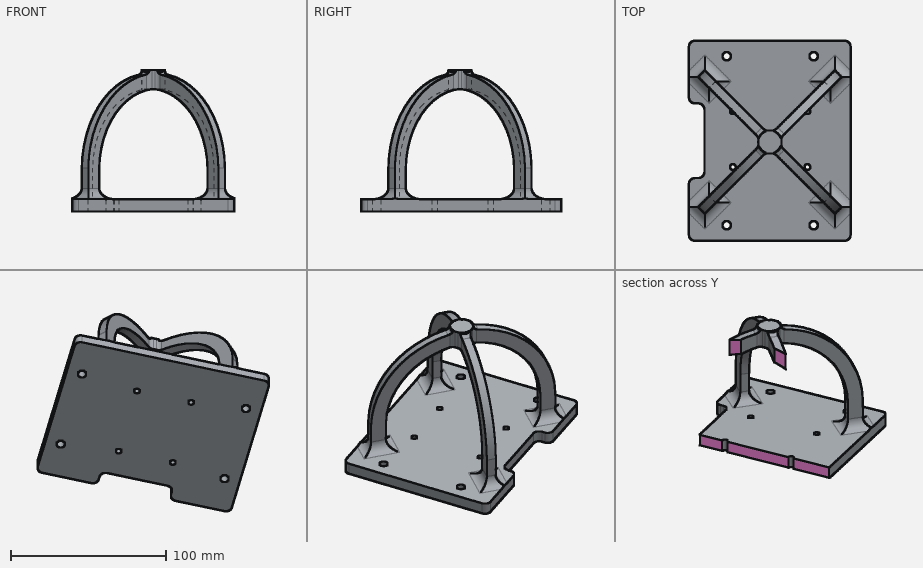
import cadquery as cq
import math

plate_x = 104.4
plate_y = 129.0
plate_thickness = 8.0
corner_radius = 4.0

notch_depth = 10.0
notch_width = 48.0

hole_center_x = 0.3
mount_hole = 5.3
mount_spacing_x = 56.0
mount_spacing_y = 108.9
small_hole = 3.6
small_spacing_x = 48.0
small_spacing_y = 36.0
small_center_y = 1.0

total_height = 91.2
cage_center = (0.06, -0.84, 0)
arch_angles = (45, 135)
leg_width = 6.0
leg_depth = 10.0
leg_reach = 62.3
leg_inner_reach = leg_reach - leg_depth
spring_height = 28.0
arch_rise = 61.0
inner_arch_rise = arch_rise - leg_depth
foot_radius = 7.0
hub_radius = 7.5
hub_fillet = 4.0


def base_plate():
    plate = cq.Workplane("XY").box(plate_x, plate_y, plate_thickness, centered=(True, True, False))
    notch = (
        cq.Workplane("XY")
        .box(2 * notch_depth, notch_width, plate_thickness, centered=(True, True, False))
        .translate((-plate_x / 2, 0, 0))
    )
    plate = plate.cut(notch).edges("|Z").fillet(corner_radius)
    for diameter, spacing_x, spacing_y, center_y in (
        (mount_hole, mount_spacing_x, mount_spacing_y, 0),
        (small_hole, small_spacing_x, small_spacing_y, small_center_y),
    ):
        plate = (
            plate.faces(">Z")
            .workplane(origin=(hole_center_x, center_y, 0))
            .rarray(spacing_x, spacing_y, 2, 2)
            .hole(diameter)
        )
    return plate


def turned(body, angle):
    """The body turned about the Z axis."""
    return body.rotate((0, 0, 0), (0, 0, 1), angle)


def arch_block(reach, rise):
    """Wide block with upright sides up to the spring line and one arc over the top."""
    return (
        cq.Workplane("XZ")
        .moveTo(-reach, 0)
        .lineTo(-reach, spring_height)
        .threePointArc((0, spring_height + rise), (reach, spring_height))
        .lineTo(reach, 0)
        .close()
        .extrude(leg_reach, both=True)
    )


def shoulder_block():
    """Wide block up to the hub top whose sides run out onto the outer arch in concave coves.

    Each cove starts upright where the side of a leg enters the round hub.
    """
    arch_radius = (leg_reach**2 + arch_rise**2) / (2 * arch_rise)
    arch_center = spring_height + arch_rise - arch_radius
    cove_reach = math.sqrt(hub_radius**2 - (leg_width / 2) ** 2) + hub_fillet
    cove_distance = arch_radius + hub_fillet
    end_angle = math.asin(cove_reach / cove_distance)
    cove_height = arch_center + cove_distance * math.cos(end_angle)
    top_angle = math.acos((cove_height - total_height) / hub_fillet)

    def on_cove(angle):
        """Point of the cove, with the angle taken at its centre from straight down toward the hub."""
        return (
            cove_reach - hub_fillet * math.sin(angle),
            cove_height - hub_fillet * math.cos(angle),
        )

    cove_top = on_cove(top_angle)
    cove_middle = on_cove((top_angle + end_angle) / 2)
    cove_end = on_cove(end_angle)
    half = (
        cq.Workplane("XZ")
        .lineTo(0, total_height)
        .lineTo(*cove_top)
        .threePointArc(cove_middle, cove_end)
        .lineTo(cove_end[0], 0)
        .close()
        .extrude(leg_reach, both=True)
    )
    return half.union(half.mirror("YZ"))


def flared_slab(plane, size, length):
    """Slab of the given size whose two sides sweep outward in a concave arc onto the plate."""
    half = size / 2
    top = plate_thickness + foot_radius
    arc_offset = foot_radius * (1 - math.sqrt(0.5))
    return (
        cq.Workplane(plane)
        .moveTo(-half - foot_radius, plate_thickness)
        .threePointArc((-half - arc_offset, plate_thickness + arc_offset), (-half, top))
        .lineTo(half, top)
        .threePointArc(
            (half + arc_offset, plate_thickness + arc_offset), (half + foot_radius, plate_thickness)
        )
        .close()
        .extrude(length, both=True)
    )


def foot():
    """Mitred concave flare around the base of a leg, centred on the Z axis."""
    return flared_slab("XZ", leg_depth, leg_reach).intersect(flared_slab("YZ", leg_width, leg_reach))


def crossed_bars(hub):
    """Upright bars crossing in the round hub, with the corners between them filled by round webs."""
    body = hub
    bar = cq.Workplane("XY").box(2 * leg_reach, leg_width, total_height, centered=(True, True, False))
    for angle in arch_angles:
        body = body.union(turned(bar, angle))
    around_hub = cq.selectors.BoxSelector(
        (-2 * hub_radius, -2 * hub_radius, 0), (2 * hub_radius, 2 * hub_radius, total_height)
    )
    return body.edges("|Z").edges(around_hub).fillet(hub_fillet)


def cage():
    """Crossed bars trimmed to the arches above, and to the vault where both inner arches cross below."""
    hub = cq.Workplane("XY").circle(hub_radius).extrude(total_height)
    outer = arch_block(leg_reach, arch_rise).union(shoulder_block())
    inner = arch_block(leg_inner_reach, inner_arch_rise)
    first_angle, second_angle = arch_angles
    roof = turned(outer, first_angle).intersect(turned(outer, second_angle))
    vault = turned(inner, first_angle).intersect(turned(inner, second_angle))
    return crossed_bars(hub).intersect(roof).union(hub).cut(vault).translate(cage_center)


def flared_feet():
    """Feet of all four legs, trimmed where they would overhang the plate."""
    leg_middle = leg_reach - leg_depth / 2
    pair = foot().translate((leg_middle, 0, 0)).union(foot().translate((-leg_middle, 0, 0)))
    first_angle, second_angle = arch_angles
    all_feet = turned(pair, first_angle).union(turned(pair, second_angle))
    limit = cq.Workplane("XY").box(plate_x, plate_y, total_height, centered=(True, True, False))
    return all_feet.translate(cage_center).intersect(limit)


result = base_plate().union(cage()).union(flared_feet())